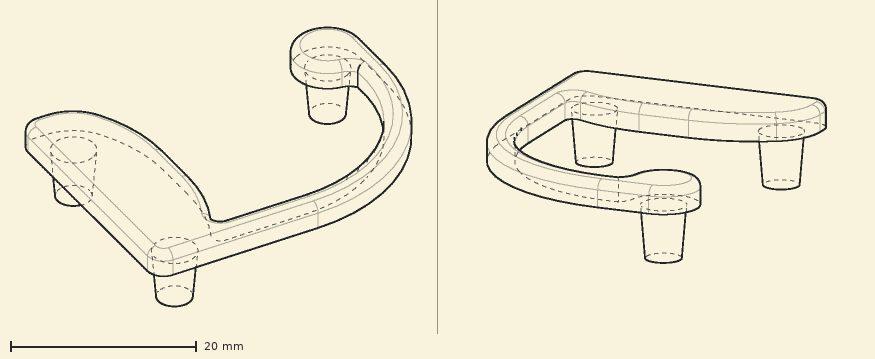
import cadquery as cq
import math

width = 30.0
length = 40.0
plate_thickness = 3.0
top_edge_radius = 1.0
corner_radius = 2.0
crotch_radius = 1.0

arm_width = 3.0
arm_outer_radius = 20.0
arm_inner_radius = arm_outer_radius - arm_width
arm_center = (width - arm_outer_radius, length - arm_outer_radius)
arm_inner_x = width - arm_width

pad_radius = 4.0
pad_center = (pad_radius, length - pad_radius)

neck_radius = 2.0
neck_angle = math.radians(-7)
neck_center = (
    pad_center[0] + (pad_radius + neck_radius) * math.cos(neck_angle),
    pad_center[1] + (pad_radius + neck_radius) * math.sin(neck_angle),
)

base_height = 11.0
crown_flat_length = 5.8
crown_radius = 17.75
shoulder_radius = 6.0
crown_left_center = ((width - crown_flat_length) / 2, base_height - crown_radius)
crown_right_center = ((width + crown_flat_length) / 2, base_height - crown_radius)

peg_length = 6.0
peg_root_diameter = 5.0
peg_tip_diameter = 4.0
peg_inset = 4.0
base_peg_y = 4.5
peg_positions = [
    pad_center,
    (peg_inset, base_peg_y),
    (width - peg_inset, base_peg_y),
]


def toward(start, target, distance):
    """Point at the given distance from start, on the line through target."""
    span = math.dist(start, target)
    return tuple(s + (t - s) * distance / span for s, t in zip(start, target))


def arc_middle(center, radius, start, end):
    """Middle point of the shorter arc from start to end."""
    chord_middle = ((start[0] + end[0]) / 2, (start[1] + end[1]) / 2)
    return toward(center, chord_middle, radius)


def center_above(center, x, distance):
    """Point at the given x, above center and at the given distance from it."""
    return (x, center[1] + math.sqrt(distance**2 - (x - center[0]) ** 2))


def circle_crossing(center_a, radius_a, center_b, radius_b):
    """Crossing of two circles that lies to the left when looking from center_a to center_b."""
    span = math.dist(center_a, center_b)
    along = (radius_a**2 - radius_b**2 + span**2) / (2 * span)
    across = math.sqrt(radius_a**2 - along**2)
    unit_x = (center_b[0] - center_a[0]) / span
    unit_y = (center_b[1] - center_a[1]) / span
    return (
        center_a[0] + unit_x * along - unit_y * across,
        center_a[1] + unit_y * along + unit_x * across,
    )


def make_plate():
    neck_on_pad = toward(pad_center, neck_center, pad_radius)
    neck_on_arm = circle_crossing(arm_center, arm_inner_radius, neck_center, neck_radius)

    crotch = center_above(crown_right_center, arm_inner_x - crotch_radius, crown_radius + crotch_radius)
    crotch_on_arm = (arm_inner_x, crotch[1])
    crotch_on_crown = toward(crown_right_center, crotch, crown_radius)

    shoulder = center_above(crown_left_center, shoulder_radius, crown_radius - shoulder_radius)
    shoulder_on_side = (0, shoulder[1])
    shoulder_on_crown = toward(crown_left_center, shoulder, crown_radius)

    crown_right_end = (crown_right_center[0], base_height)
    crown_left_end = (crown_left_center[0], base_height)
    arm_outer_top = (arm_center[0], length)
    arm_outer_side = (width, arm_center[1])
    arm_inner_side = (arm_inner_x, arm_center[1])
    pad_top = (pad_center[0], length)
    pad_left = (0, pad_center[1])

    def arc_to(outline, center, radius, start, end):
        return outline.threePointArc(arc_middle(center, radius, start, end), end)

    outline = cq.Workplane("XY").moveTo(0, 0).lineTo(width, 0).lineTo(*arm_outer_side)
    outline = arc_to(outline, arm_center, arm_outer_radius, arm_outer_side, arm_outer_top)
    outline = outline.lineTo(*pad_top)
    outline = outline.threePointArc(pad_left, neck_on_pad)
    outline = arc_to(outline, neck_center, neck_radius, neck_on_pad, neck_on_arm)
    outline = arc_to(outline, arm_center, arm_inner_radius, neck_on_arm, arm_inner_side)
    outline = outline.lineTo(*crotch_on_arm)
    outline = arc_to(outline, crotch, crotch_radius, crotch_on_arm, crotch_on_crown)
    outline = arc_to(outline, crown_right_center, crown_radius, crotch_on_crown, crown_right_end)
    outline = outline.lineTo(*crown_left_end)
    outline = arc_to(outline, crown_left_center, crown_radius, crown_left_end, shoulder_on_crown)
    outline = arc_to(outline, shoulder, shoulder_radius, shoulder_on_crown, shoulder_on_side)

    plate = outline.close().extrude(plate_thickness)
    plate = plate.edges("|Z and <Y").fillet(corner_radius)
    return plate.faces(">Z").edges().fillet(top_edge_radius)


def make_peg(position):
    taper_angle = math.degrees(math.atan2((peg_root_diameter - peg_tip_diameter) / 2, peg_length))
    return (
        cq.Workplane("XY")
        .center(*position)
        .circle(peg_root_diameter / 2)
        .extrude(-peg_length, taper=taper_angle)
    )


result = make_plate()
for peg_position in peg_positions:
    result = result.union(make_peg(peg_position))